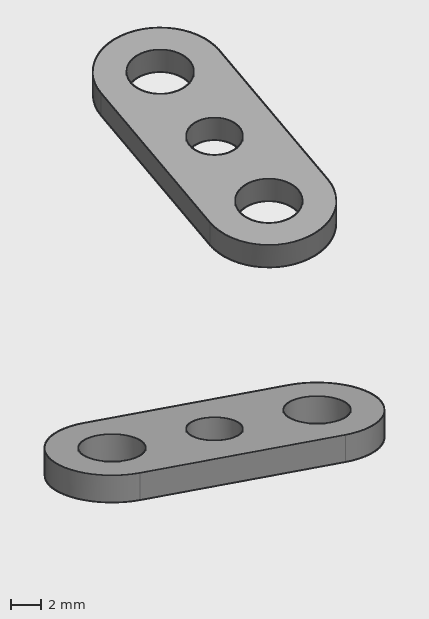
import cadquery as cq

length = 24.0
width = 9.0
thickness = 2.0

end_hole_diameter = width / 2
middle_hole_diameter = 3.8
end_hole_spacing = length - width

plate = cq.Workplane("XY").slot2D(length, width).extrude(thickness)

end_hole_centres = [(-end_hole_spacing / 2, 0), (end_hole_spacing / 2, 0)]
end_holes = (
    cq.Workplane("XY")
    .pushPoints(end_hole_centres)
    .circle(end_hole_diameter / 2)
    .extrude(thickness)
)
middle_hole = cq.Workplane("XY").circle(middle_hole_diameter / 2).extrude(thickness)

result = plate.cut(end_holes).cut(middle_hole)